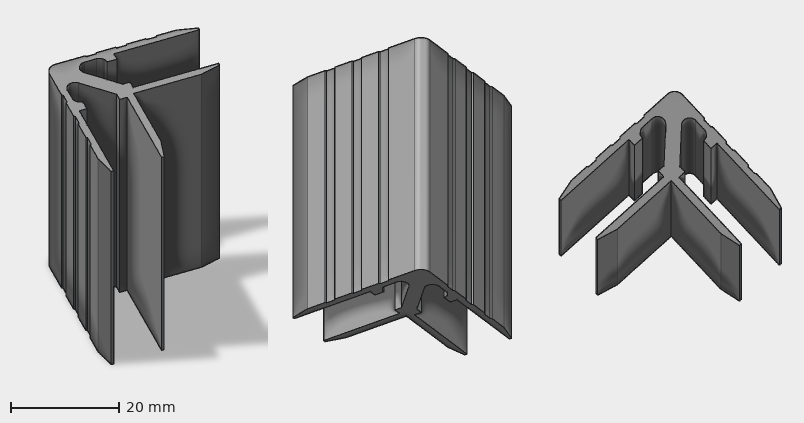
import cadquery as cq
import math

length = 50.0
leg = 30.0
wall = 1.5
corner_radius = 2.0

channel_width = 9.5
channel_floor = 13.0
inner_wall_near = wall + channel_width
inner_wall_far = inner_wall_near + wall

tip_thickness = 0.5
taper_length = 4.0
taper_start = leg - taper_length

lip_depth = 1.5
lip_height = 2.0
outer_lip = wall + lip_depth
inner_lip = inner_wall_near - lip_depth
pocket_radius = lip_depth
pocket_top = channel_floor - lip_height

web_thickness = 2.9
web_offset = web_thickness / math.sqrt(2)
pocket_center_x = wall + pocket_radius
pocket_center_y = pocket_center_x + web_offset + pocket_radius * math.sqrt(2)
tangent_step = pocket_radius / math.sqrt(2)

groove_depth = 0.25
groove_width = 2.2
groove_flank = 0.2
groove_pitch = 6.0
groove_count = 3
first_groove = 7.9


def make_half_profile():
    """Half of the section on the +Y side of the diagonal, with a square outer corner."""
    return (
        cq.Workplane("XY")
        .moveTo(0, 0)
        .lineTo(0, taper_start)
        .lineTo(wall - tip_thickness, leg)
        .lineTo(wall, leg)
        .lineTo(wall, channel_floor)
        .lineTo(outer_lip, channel_floor)
        .lineTo(outer_lip, pocket_top)
        .radiusArc((wall, pocket_top - pocket_radius), -pocket_radius)
        .lineTo(wall, pocket_center_y)
        .threePointArc(
            (pocket_center_x, pocket_center_y - pocket_radius),
            (pocket_center_x + tangent_step, pocket_center_y - tangent_step),
        )
        .lineTo(inner_lip, inner_lip + web_offset)
        .lineTo(inner_lip, channel_floor)
        .lineTo(inner_wall_near, channel_floor)
        .lineTo(inner_wall_near, leg)
        .lineTo(inner_wall_near + tip_thickness, leg)
        .lineTo(inner_wall_far, taper_start)
        .lineTo(inner_wall_far, inner_wall_far)
        .close()
        .extrude(length)
    )


def make_groove(start):
    """Shallow groove with sloped flanks across the X = 0 face."""
    end = start + groove_width
    return (
        cq.Workplane("XY")
        .polyline([
            (0, start),
            (groove_depth, start + groove_flank),
            (groove_depth, end - groove_flank),
            (0, end),
        ])
        .close()
        .extrude(length)
    )


half = make_half_profile()
for index in range(groove_count):
    half = half.cut(make_groove(first_groove + index * groove_pitch))

other_half = half.mirror("YZ").rotate((0, 0, 0), (0, 0, 1), -90)

result = half.union(other_half).clean()
outer_corner_edge = cq.selectors.NearestToPointSelector((0, 0, length / 2))
result = result.edges(outer_corner_edge).fillet(corner_radius)